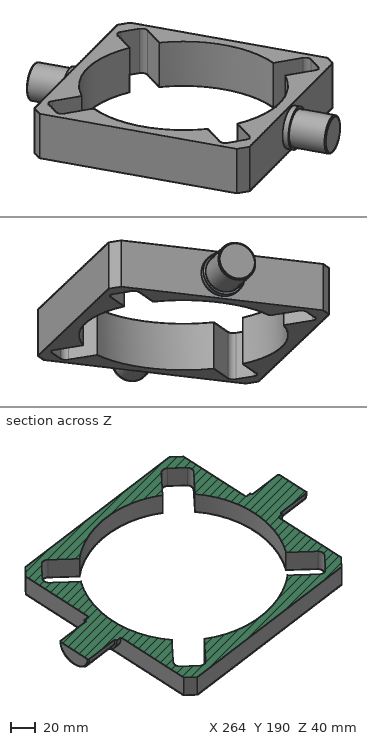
import cadquery as cq

frame_side = 190.0
frame_height = 40.0
corner_chamfer = 8.0
bore_diameter = 170.0

slot_width = 26.0
slot_reach = 115.0
slot_corner_radius = 5.0

overall_length = 264.0
collar_diameter = 36.0
collar_length = 5.0
pin_diameter = 32.0
pin_chamfer = 1.0

trunnion_length = (overall_length - frame_side) / 2


def make_frame():
    """Square block with chamfered corners and a central bore, centred on the origin."""
    block = cq.Workplane("XY").box(frame_side, frame_side, frame_height)
    block = block.edges("|Z").chamfer(corner_chamfer)
    return block.faces(">Z").workplane().hole(bore_diameter)


def make_slot(angle):
    """Cutter for one slot, reaching from the bore axis outwards at the given angle."""
    slot = cq.Workplane("XY").box(slot_reach, slot_width, frame_height)
    slot = slot.translate((slot_reach / 2, 0, 0))
    slot = slot.faces(">X").edges("|Z").fillet(slot_corner_radius)
    return slot.rotate((0, 0, 0), (0, 0, 1), angle)


def make_trunnion(side):
    """Collar and chamfered pin on the +X (side=1) or -X (side=-1) face."""
    face = cq.Workplane("YZ", origin=(side * frame_side / 2, 0, 0))
    collar = face.circle(collar_diameter / 2).extrude(side * collar_length)
    pin = face.circle(pin_diameter / 2).extrude(side * trunnion_length)
    outer_face = ">X" if side > 0 else "<X"
    pin = pin.faces(outer_face).edges().chamfer(pin_chamfer)
    return collar.union(pin)


result = make_frame()
for slot_angle in (45, 135, 225, 315):
    result = result.cut(make_slot(slot_angle))
for trunnion_side in (-1, 1):
    result = result.union(make_trunnion(trunnion_side))